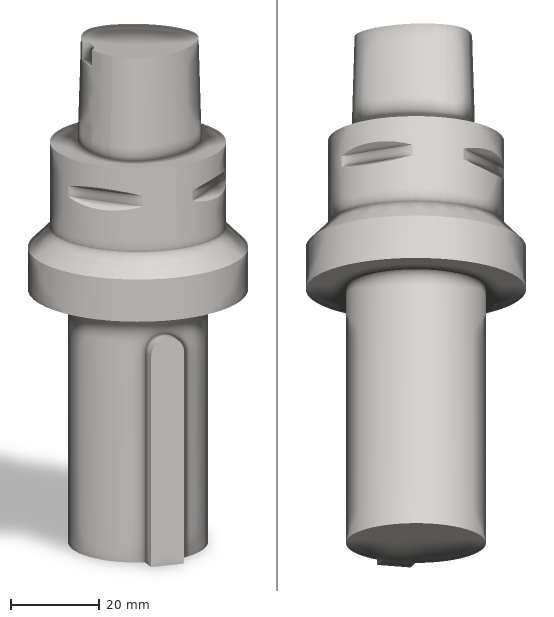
import cadquery as cq
import math

TOTAL_HEIGHT = 119.0
SHANK_TOP = 60.0
FLANGE_TOP = 70.0
CONE_TOP = 75.0
COLLAR_TOP = 95.0

SHANK_DIAMETER = 31.8
FLANGE_DIAMETER = 50.0
COLLAR_DIAMETER = 40.0

TAPER_BASE_RADIUS = 14.0
TAPER_TOP_RADIUS = 13.3
LOBE_ECCENTRICITY = 1.7
LOBE_COUNT = 3
LOBE_HALF_ANGLE = 26.0
POINTS_PER_FACE = 7

NOTCH_HEIGHT = 4.0
NOTCH_RADIUS = 4.4
NOTCH_FLOOR_Y = -11.0

GROOVE_COUNT = 4
GROOVE_DROP = 8.0
GROOVE_HEIGHT = COLLAR_TOP - GROOVE_DROP
GROOVE_FLOOR_WIDTH = 2.5
GROOVE_FLOOR_DISTANCE = 17.7
GROOVE_WALL_ANGLE = 30.0
CUT_CLEARANCE = 1.2

KEY_WIDTH = 8.0
KEY_OUTER_X = 19.2
KEY_TOP = 54.0


def make_turned_body():
    """Shank, flange, conical shoulder and collar as one revolved profile."""
    shank_radius = SHANK_DIAMETER / 2
    flange_radius = FLANGE_DIAMETER / 2
    collar_radius = COLLAR_DIAMETER / 2
    profile = [
        (0, 0),
        (shank_radius, 0),
        (shank_radius, SHANK_TOP),
        (flange_radius, SHANK_TOP),
        (flange_radius, FLANGE_TOP),
        (collar_radius, CONE_TOP),
        (collar_radius, COLLAR_TOP),
        (0, COLLAR_TOP),
    ]
    return cq.Workplane("XZ").polyline(profile).close().revolve(360, (0, 0), (0, 1))


def lobed_point(radius, degrees, height):
    """Point on the three-lobed curve, with its first lobe on +Y."""
    angle = math.radians(degrees)
    e = LOBE_ECCENTRICITY
    along_lobe = radius * math.cos(angle) - e / 2 * math.cos(4 * angle) + e * math.cos(2 * angle)
    across_lobe = radius * math.sin(angle) - e / 2 * math.sin(4 * angle) - e * math.sin(2 * angle)
    return cq.Vector(-across_lobe, along_lobe, height)


def lobed_tangent(radius, degrees):
    """Direction of the three-lobed curve, the derivative of its point formula."""
    angle = math.radians(degrees)
    e = LOBE_ECCENTRICITY
    along_lobe = -radius * math.sin(angle) + 2 * e * math.sin(4 * angle) - 2 * e * math.sin(2 * angle)
    across_lobe = radius * math.cos(angle) - 2 * e * math.cos(4 * angle) - 2 * e * math.cos(2 * angle)
    return cq.Vector(-across_lobe, along_lobe, 0)


def lobed_edge(radius, start, end, height):
    step = (end - start) / (POINTS_PER_FACE - 1)
    points = [lobed_point(radius, start + i * step, height) for i in range(POINTS_PER_FACE)]
    return cq.Edge.makeSpline(points, tangents=[lobed_tangent(radius, start), lobed_tangent(radius, end)])


def lobed_wire(radius, height):
    """Closed outline of alternating lobe and flank edges."""
    pitch = 360 / LOBE_COUNT
    edges = []
    for i in range(LOBE_COUNT):
        lobe_start = i * pitch - LOBE_HALF_ANGLE
        lobe_end = i * pitch + LOBE_HALF_ANGLE
        edges.append(lobed_edge(radius, lobe_start, lobe_end, height))
        edges.append(lobed_edge(radius, lobe_end, lobe_start + pitch, height))
    return cq.Wire.assembleEdges(edges)


def make_taper():
    base = lobed_wire(TAPER_BASE_RADIUS, COLLAR_TOP)
    top = lobed_wire(TAPER_TOP_RADIUS, TOTAL_HEIGHT)
    return cq.Workplane(obj=cq.Solid.makeLoft([base, top], True))


def make_notch():
    return (
        cq.Workplane("XY", origin=(0, NOTCH_FLOOR_Y - NOTCH_RADIUS, TOTAL_HEIGHT - NOTCH_HEIGHT))
        .circle(NOTCH_RADIUS)
        .extrude(NOTCH_HEIGHT)
    )


def make_groove(angle):
    """Straight trapezoidal groove cut across the collar, opening outward."""
    outer_distance = COLLAR_DIAMETER / 2 + CUT_CLEARANCE
    floor_half = GROOVE_FLOOR_WIDTH / 2
    depth = outer_distance - GROOVE_FLOOR_DISTANCE
    outer_half = floor_half + depth * math.tan(math.radians(GROOVE_WALL_ANGLE))
    section = [
        (GROOVE_FLOOR_DISTANCE, GROOVE_HEIGHT - floor_half),
        (outer_distance, GROOVE_HEIGHT - outer_half),
        (outer_distance, GROOVE_HEIGHT + outer_half),
        (GROOVE_FLOOR_DISTANCE, GROOVE_HEIGHT + floor_half),
    ]
    groove = cq.Workplane("XZ").polyline(section).close().extrude(COLLAR_DIAMETER / 2, both=True)
    return groove.rotate((0, 0, 0), (0, 0, 1), angle)


def make_key():
    """Round-topped key running down to the end of the shank."""
    half_width = KEY_WIDTH / 2
    arc_start = KEY_TOP - half_width
    return (
        cq.Workplane("YZ")
        .moveTo(-half_width, 0)
        .lineTo(half_width, 0)
        .lineTo(half_width, arc_start)
        .threePointArc((0, KEY_TOP), (-half_width, arc_start))
        .close()
        .extrude(KEY_OUTER_X)
    )


result = make_turned_body().union(make_taper()).union(make_key()).cut(make_notch())
for groove_index in range(GROOVE_COUNT):
    result = result.cut(make_groove((groove_index + 0.5) * 360 / GROOVE_COUNT))